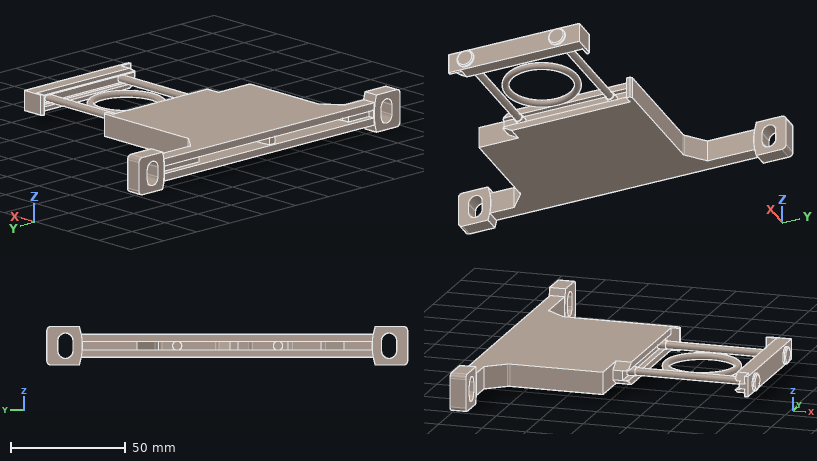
import cadquery as cq

RAIL_LENGTH = 158.0
LUG_DEPTH = 7.3
LUG_HEIGHT = 17.0
LUG_CORNER_RADIUS = 2.0
LUG_INNER_TOP_Y = 64.7
LUG_INNER_MIDDLE_Y = 63.4
LUG_SLOT_Y = 70.8
LUG_SLOT_WIDTH = 6.5
LUG_SLOT_HEIGHT = 11.0
RAIL_BACK_X = 0.4
RAIL_FRONT_X = 7.1
GROOVE_HEIGHT = 3.5
GROOVE_DEPTH = 3.0

HOUSING_HEIGHT = 10.2
HOUSING_TOP_Y = 33.7
HOUSING_BOTTOM_Y = -44.9
FLARE_END_X = 16.1
FLARE_WIDTH = 7.3
FLARE_FILLET = 1.6
FRONT_FACE_X = 66.4
STEP_X = 59.4
STEP_Y = -25.9
WING_TIP_X = 70.2
WING_THICKNESS = 2.5
WING_CHAMFER = 0.8

WEDGE_LENGTH = 4.8
WEDGE_TIP_HEIGHT = 4.4
WEDGE_CORNER_RADIUS = 2.0
FRONT_SLOT_FLOOR_X = 63.8

CAVITY_TOP_Y = 30.1
CAVITY_BOTTOM_Y = -41.0
CAVITY_FLOOR_X = 61.0
CAVITY_STEP_X = 57.0
CAVITY_STEP_Y = -26.6
CAVITY_STEP_RADIUS = 1.9
CAVITY_MOUTH_TOP_Y = 39.5
CAVITY_MOUTH_BOTTOM_Y = -51.0
CAVITY_TOP_FLARE_RADIUS = 7.0
CAVITY_FLOOR_RADIUS = 1.6
CAVITY_BOTTOM_FLARE_RADIUS = 8.7
PILLAR_Y = -2.95
PILLAR_TIP_WIDTH = 3.3
PILLAR_BASE_WIDTH = 13.4
PILLAR_TIP_X = 1.5
PILLAR_BASE_FILLET = 1.6

SCREW_SPACING = 44.1
SCREW_MIDDLE_Y = -0.15
SCREW_POSITIONS = (SCREW_MIDDLE_Y + SCREW_SPACING / 2, SCREW_MIDDLE_Y - SCREW_SPACING / 2)
SHANK_DIAMETER = 3.4
THREAD_DIAMETER = 4.0
THREAD_END_X = 67.4
CLAMP_BACK_X = 114.8
CLAMP_FRONT_X = 121.4
CLAMP_HEIGHT = 9.2
CLAMP_TOP_Y = 32.3
CLAMP_SLOPE_Y = -25.0
CLAMP_BOTTOM_Y = -30.8
CLAMP_TIP_HEIGHT = 2.2
CLAMP_PLATE_THICKNESS = 1.4
CLAMP_CORNER_CHAMFER = 2.6
CHANNEL_FLOOR_X = 117.4
CHANNEL_HEIGHT = 3.8
CHANNEL_MOUTH_CHAMFER = 0.8
CLAMP_WING_TIP_X = 110.1
CLAMP_WING_EDGE_THICKNESS = 1.1
CLAMP_WING_FOOT_THICKNESS = 1.5
CLAMP_WING_CHAMFER = 1.0
HEAD_DIAMETER = 7.8
HEAD_NECK_DIAMETER = 4.6
HEAD_NECK_LENGTH = 0.5
HEAD_FRONT_X = 123.1
HEAD_CHAMFER = 0.5

RING_X = 90.6
RING_OUTER_DIAMETER = 34.8
RING_WIRE_DIAMETER = 3.1
RING_Z = -1.6


def plate(outline, height):
    """Extrude a closed XY outline by height, centred on Z = 0."""
    return outline.extrude(height / 2, both=True)


def box(x0, x1, y0, y1, height):
    """Box between two X and two Y positions, centred on Z = 0."""
    outline = cq.Workplane("XY").moveTo((x0 + x1) / 2, (y0 + y1) / 2).rect(x1 - x0, y1 - y0)
    return plate(outline, height)


def rod(x0, x1, diameter, y):
    """Round bar along X."""
    return cq.Workplane("YZ", origin=(x0, 0, 0)).center(y, 0).circle(diameter / 2).extrude(x1 - x0)


def wedge(x0, x1, y_root, y_tip, root_height, tip_height):
    """Block whose height tapers from y_root to y_tip."""
    profile = [
        (y_root, root_height / 2),
        (y_tip, tip_height / 2),
        (y_tip, -tip_height / 2),
        (y_root, -root_height / 2),
    ]
    return cq.Workplane("YZ", origin=(x0, 0, 0)).polyline(profile).close().extrude(x1 - x0)


def round_corner(body, x, y, radius):
    """Fillet the upright edge nearest to (x, y)."""
    corner = cq.selectors.NearestToPointSelector((x, y, 0))
    return body.edges("|Z").edges(corner).fillet(radius)


def make_lug():
    """Lug at the +Y end, bowed on its inner side and pierced by a slot."""
    half = LUG_HEIGHT / 2
    end = RAIL_LENGTH / 2
    lug = (
        cq.Workplane("YZ")
        .moveTo(LUG_INNER_TOP_Y, half)
        .lineTo(end, half)
        .lineTo(end, -half)
        .lineTo(LUG_INNER_TOP_Y, -half)
        .threePointArc((LUG_INNER_MIDDLE_Y, 0), (LUG_INNER_TOP_Y, half))
        .close()
        .extrude(LUG_DEPTH)
        .edges("|X and >Y")
        .fillet(LUG_CORNER_RADIUS)
    )
    slot = (
        cq.Workplane("YZ")
        .center(LUG_SLOT_Y, 0)
        .slot2D(LUG_SLOT_HEIGHT, LUG_SLOT_WIDTH, 90)
        .extrude(LUG_DEPTH)
    )
    return lug.cut(slot)


def make_housing_shell():
    """Outer body of rail and box, with the two flares between them filleted."""
    rail_end = LUG_INNER_TOP_Y
    outline = [
        (RAIL_BACK_X, rail_end),
        (RAIL_FRONT_X, rail_end),
        (RAIL_FRONT_X, HOUSING_TOP_Y + FLARE_WIDTH),
        (FLARE_END_X, HOUSING_TOP_Y),
        (WING_TIP_X, HOUSING_TOP_Y),
        (WING_TIP_X, HOUSING_TOP_Y - WING_THICKNESS),
        (FRONT_FACE_X, HOUSING_TOP_Y - WING_THICKNESS),
        (FRONT_FACE_X, STEP_Y),
        (STEP_X, STEP_Y),
        (STEP_X, HOUSING_BOTTOM_Y),
        (FLARE_END_X, HOUSING_BOTTOM_Y),
        (RAIL_FRONT_X, HOUSING_BOTTOM_Y - FLARE_WIDTH),
        (RAIL_FRONT_X, -rail_end),
        (RAIL_BACK_X, -rail_end),
    ]
    shell = plate(cq.Workplane("XY").polyline(outline).close(), HOUSING_HEIGHT)
    for y in (HOUSING_TOP_Y, HOUSING_BOTTOM_Y):
        shell = round_corner(shell, FLARE_END_X, y, FLARE_FILLET)
    return shell.edges("|Z and >X").edges(">Y").chamfer(WING_CHAMFER)


def make_housing_wedge():
    """Wedge filling the corner between the front face and the step."""
    tip_y = STEP_Y - WEDGE_LENGTH
    solid = wedge(STEP_X, FRONT_FACE_X, STEP_Y, tip_y, HOUSING_HEIGHT, WEDGE_TIP_HEIGHT)
    footprint = box(STEP_X, FRONT_FACE_X, tip_y, STEP_Y, HOUSING_HEIGHT)
    footprint = footprint.edges("|Z and >X and <Y").fillet(WEDGE_CORNER_RADIUS)
    return solid.intersect(footprint)


def make_cavity():
    """Hollow open towards -X, flared like the housing and split by a tapered pillar."""
    mouth_x = RAIL_BACK_X + GROOVE_DEPTH
    flare_run_per_width = (FLARE_END_X - RAIL_FRONT_X) / FLARE_WIDTH
    top_flare_x = RAIL_FRONT_X + (CAVITY_MOUTH_TOP_Y - CAVITY_TOP_Y) * flare_run_per_width
    bottom_flare_x = RAIL_FRONT_X + (CAVITY_BOTTOM_Y - CAVITY_MOUTH_BOTTOM_Y) * flare_run_per_width
    outline = [
        (mouth_x, CAVITY_MOUTH_TOP_Y),
        (RAIL_FRONT_X, CAVITY_MOUTH_TOP_Y),
        (top_flare_x, CAVITY_TOP_Y),
        (CAVITY_FLOOR_X, CAVITY_TOP_Y),
        (CAVITY_FLOOR_X, CAVITY_STEP_Y),
        (CAVITY_STEP_X, CAVITY_STEP_Y),
        (CAVITY_STEP_X, CAVITY_BOTTOM_Y),
        (bottom_flare_x, CAVITY_BOTTOM_Y),
        (RAIL_FRONT_X, CAVITY_MOUTH_BOTTOM_Y),
        (mouth_x, CAVITY_MOUTH_BOTTOM_Y),
    ]
    hollow = plate(cq.Workplane("XY").polyline(outline).close(), GROOVE_HEIGHT)
    hollow = round_corner(hollow, top_flare_x, CAVITY_TOP_Y, CAVITY_TOP_FLARE_RADIUS)
    hollow = round_corner(hollow, bottom_flare_x, CAVITY_BOTTOM_Y, CAVITY_BOTTOM_FLARE_RADIUS)
    hollow = round_corner(hollow, CAVITY_FLOOR_X, CAVITY_TOP_Y, CAVITY_FLOOR_RADIUS)
    hollow = round_corner(hollow, CAVITY_STEP_X, CAVITY_STEP_Y, CAVITY_STEP_RADIUS)

    groove = box(0, mouth_x, -LUG_INNER_MIDDLE_Y, LUG_INNER_MIDDLE_Y, GROOVE_HEIGHT)

    base_top_y = PILLAR_Y + PILLAR_BASE_WIDTH / 2
    base_bottom_y = PILLAR_Y - PILLAR_BASE_WIDTH / 2
    pillar_outline = [
        (PILLAR_TIP_X, PILLAR_Y + PILLAR_TIP_WIDTH / 2),
        (CAVITY_FLOOR_X, base_top_y),
        (CAVITY_FLOOR_X, base_bottom_y),
        (PILLAR_TIP_X, PILLAR_Y - PILLAR_TIP_WIDTH / 2),
    ]
    pillar = plate(cq.Workplane("XY").polyline(pillar_outline).close(), GROOVE_HEIGHT)
    cavity = hollow.union(groove).cut(pillar)
    for y in (base_top_y, base_bottom_y):
        cavity = round_corner(cavity, CAVITY_FLOOR_X, y, PILLAR_BASE_FILLET)
    return cavity


def make_housing():
    """Rail, box, wedge and lugs in one solid, with cavity, front slot and screw holes cut in."""
    lug = make_lug()
    housing = make_housing_shell().union(make_housing_wedge()).cut(make_cavity())
    housing = housing.union(lug).union(lug.mirror("XZ"))

    slot_top_y = HOUSING_TOP_Y - WING_THICKNESS
    slot_bottom_y = STEP_Y - WEDGE_LENGTH
    housing = housing.cut(
        box(FRONT_SLOT_FLOOR_X, FRONT_FACE_X, slot_bottom_y, slot_top_y, WEDGE_TIP_HEIGHT)
    )
    for y in SCREW_POSITIONS:
        housing = housing.cut(rod(CAVITY_FLOOR_X, FRONT_SLOT_FLOOR_X, THREAD_DIAMETER, y))
    return housing


def make_screw(y):
    """Screw along X: threaded end filling the housing hole, thinner shank, neck and chamfered head."""
    thread = rod(CAVITY_FLOOR_X, THREAD_END_X, THREAD_DIAMETER, y)
    shank = rod(THREAD_END_X, CLAMP_FRONT_X, SHANK_DIAMETER, y)
    head_back_x = CLAMP_FRONT_X + HEAD_NECK_LENGTH
    neck = rod(CLAMP_FRONT_X, head_back_x, HEAD_NECK_DIAMETER, y)
    head = rod(head_back_x, HEAD_FRONT_X, HEAD_DIAMETER, y).faces(">X").chamfer(HEAD_CHAMFER)
    return thread.union(shank).union(neck).union(head)


def make_clamp_wing():
    """Thin wing at the +Y end, thicker at its foot than at its top edge."""
    half = CLAMP_HEIGHT / 2
    profile = [
        (CLAMP_TOP_Y, half),
        (CLAMP_TOP_Y - CLAMP_WING_EDGE_THICKNESS, half),
        (CLAMP_TOP_Y - CLAMP_WING_FOOT_THICKNESS, -half),
        (CLAMP_TOP_Y, -half),
    ]
    length = CHANNEL_FLOOR_X - CLAMP_WING_TIP_X
    wing = cq.Workplane("YZ", origin=(CLAMP_WING_TIP_X, 0, 0)).polyline(profile).close().extrude(length)
    return wing.edges("|Z and <X and >Y").chamfer(CLAMP_WING_CHAMFER)


def make_channel():
    """Channel along the back of the clamp bar, chamfered at its mouth."""
    half = CHANNEL_HEIGHT / 2
    mouth_half = half + CHANNEL_MOUTH_CHAMFER
    chamfer_end_x = CLAMP_BACK_X + CHANNEL_MOUTH_CHAMFER
    profile = [
        (CLAMP_BACK_X, mouth_half),
        (chamfer_end_x, half),
        (CHANNEL_FLOOR_X, half),
        (CHANNEL_FLOOR_X, -half),
        (chamfer_end_x, -half),
        (CLAMP_BACK_X, -mouth_half),
    ]
    start = cq.Workplane("XZ", origin=(0, CLAMP_TOP_Y, 0))
    return start.polyline(profile).close().extrude(CLAMP_TOP_Y - CLAMP_BOTTOM_Y)


def make_clamp():
    """Channelled bar with end plate, end wedge and wing, joined to its two screws."""
    bar = box(CLAMP_BACK_X, CLAMP_FRONT_X, CLAMP_SLOPE_Y, CLAMP_TOP_Y, CLAMP_HEIGHT)
    plate_x = CLAMP_FRONT_X - CLAMP_PLATE_THICKNESS
    end_plate = box(plate_x, CLAMP_FRONT_X, CLAMP_BOTTOM_Y, CLAMP_SLOPE_Y, CLAMP_HEIGHT)
    footprint = box(CLAMP_BACK_X, plate_x, CLAMP_BOTTOM_Y, CLAMP_SLOPE_Y, CLAMP_HEIGHT)
    footprint = footprint.edges("|Z and <X and <Y").chamfer(CLAMP_CORNER_CHAMFER)
    end_wedge = wedge(
        CLAMP_BACK_X, plate_x, CLAMP_SLOPE_Y, CLAMP_BOTTOM_Y, CLAMP_HEIGHT, CLAMP_TIP_HEIGHT
    ).intersect(footprint)

    clamp = bar.union(end_plate).union(end_wedge).cut(make_channel()).union(make_clamp_wing())
    for y in SCREW_POSITIONS:
        clamp = clamp.union(make_screw(y))
    return clamp


def make_ring():
    """Ring of round wire lying parallel to XY."""
    wire_radius = RING_WIRE_DIAMETER / 2
    ring = cq.Solid.makeTorus(RING_OUTER_DIAMETER / 2 - wire_radius, wire_radius)
    return cq.Workplane(ring.moved(cq.Location(cq.Vector(RING_X, SCREW_MIDDLE_Y, RING_Z))))


housing = make_housing()
clamp = make_clamp()
ring = make_ring()

result = cq.Compound.makeCompound([housing.val(), clamp.val(), ring.val()])